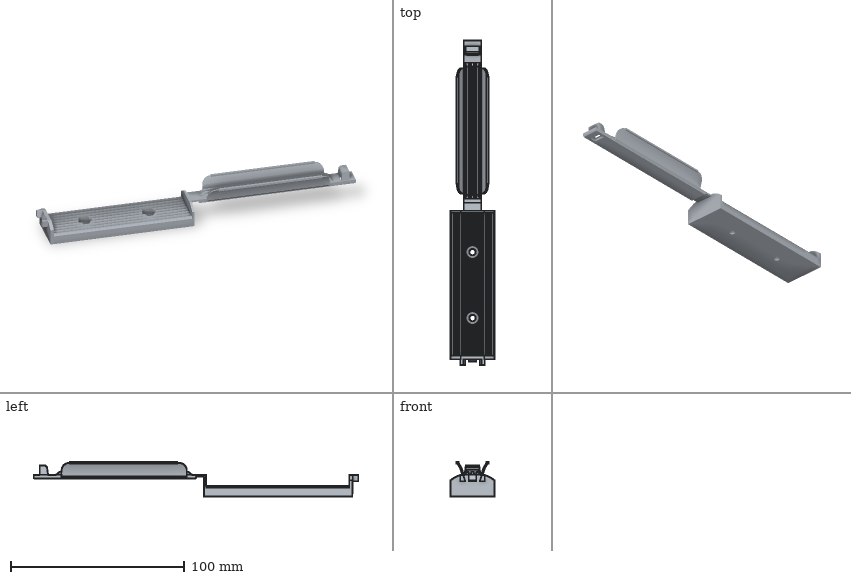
import cadquery as cq

TOTAL_LENGTH = 187.3
TOTAL_HEIGHT = 20.0
PEG_LENGTH = 3.4
LID_END_Y = TOTAL_LENGTH - PEG_LENGTH
STRAP_TOP_Z = 12.5

TRAY_WIDTH = 25.5
TRAY_LENGTH = 85.8
RIDGE_TOP_Z = 6.2
SIDE_TOP_Z = 5.0
SIDE_SLOPE_WIDTH = 0.7
BASE_DRAFT = 0.1
RIDGE_COUNT = 9
GROOVE_DEPTH = 1.9
GROOVE_TOP_WIDTH = 2.0
GROOVE_BOTTOM_WIDTH = 1.0
FRONT_PLATE_THICKNESS = 2.0
BACK_PLATE_THICKNESS = 1.3
PLATE_SHOULDER_Z = 9.4
PLATE_TOP_HALF_WIDTH = 6.7
PLATE_BULGE = 0.4
SCREW_SPACING = 38.0
FIRST_SCREW_Y = 23.8
SCREW_DIAMETER = 3.5
SCREW_HEAD_DIAMETER = 7.9
SCREW_SEAT_Z = 2.0

PEG_OUTER_X = 7.1
PEG_TOP_INNER_X = 5.5
PEG_BOTTOM_INNER_X = 4.1
PEG_BOTTOM_Z = 8.8
LATCH_WIDTH = 4.5
LATCH_DEPTH = 1.3
LATCH_NOSE_HEIGHT = 0.5

STRAP_WIDTH = 10.1
STRAP_THICKNESS = 1.1
LID_START_Y = 90.3

LID_THICKNESS = 2.2
LID_BOTTOM_Z = STRAP_TOP_Z - LID_THICKNESS
LID_EDGE_CHAMFER = 0.5
RIB_START_Y = 92.5
RIB_END_Y = 171.0
RIB_HEIGHT = 1.9
RIB_RAMP = 2.2
RIB_BASE_WIDTH = 2.2
RIB_TOP_WIDTH = 1.0
RIB_SPACING = 3.0

LOOP_BACK_Y = 180.4
LOOP_BASE_LENGTH = 4.9
LOOP_TOP_LENGTH = 4.1
LOOP_TOP_Z = 18.0
LOOP_TOP_WIDTH = 7.9
LOOP_BASE_WIDTH = 9.2
LOOP_LEAD_IN = 1.0
LOOP_BACK_WALL = 1.1
LOOP_OPENING_WIDTH = 6.4
LOOP_OPENING_TOP_Z = 15.5

WING_START_Y = 95.5
WING_END_Y = 167.8
WING_THICKNESS = 1.0
WING_BEND_X = 6.0
WING_BEND_Z = 15.7
WING_TIP_X = 8.0
WING_TIP_Z = 19.5
WING_CORNER_RADIUS = 4.5
LIP_START_Y = 101.2
LIP_END_Y = 163.0
LIP_INNER_X = 7.9
LIP_OUTER_X = 9.4
LIP_HEIGHT = 1.1


def block(x_size, y_start, y_end, z_bottom, z_top):
    """A box centred on X = 0 between the given Y and Z limits."""
    return (
        cq.Workplane("XY")
        .box(x_size, y_end - y_start, z_top - z_bottom, centered=(True, False, False))
        .translate((0, y_start, z_bottom))
    )


def along_y(profile, y_start, y_end):
    """Extrude a closed XZ profile from y_start to y_end."""
    return profile.extrude(y_start - y_end).translate((0, y_start, 0))


def trapezoid(x_centre, z_bottom, base_width, top_width, height):
    """A symmetric trapezoid in the XZ plane."""
    return cq.Workplane("XZ").polyline(
        [
            (x_centre - base_width / 2, z_bottom),
            (x_centre - top_width / 2, z_bottom + height),
            (x_centre + top_width / 2, z_bottom + height),
            (x_centre + base_width / 2, z_bottom),
        ]
    ).close()


def make_ridged_base():
    """Lower part of the tray, with grooves along its length that leave ridges between them."""
    slope_height = RIDGE_TOP_Z - SIDE_TOP_Z
    slope_top_width = TRAY_WIDTH - 2 * SIDE_SLOPE_WIDTH
    base = block(TRAY_WIDTH, 0, TRAY_LENGTH, 0, SIDE_TOP_Z)
    sloped_top = trapezoid(0, SIDE_TOP_Z, TRAY_WIDTH, slope_top_width, slope_height)
    base = base.union(along_y(sloped_top, 0, TRAY_LENGTH))
    pitch = TRAY_WIDTH / RIDGE_COUNT
    for i in range(1, RIDGE_COUNT):
        x_centre = (i - RIDGE_COUNT / 2) * pitch
        groove = trapezoid(
            x_centre, RIDGE_TOP_Z - GROOVE_DEPTH, GROOVE_BOTTOM_WIDTH, GROOVE_TOP_WIDTH, GROOVE_DEPTH
        )
        base = base.cut(along_y(groove, 0, TRAY_LENGTH))
    return base


def make_end_plate(y_start, y_end):
    """Upright plate with curved shoulders."""
    half_width = TRAY_WIDTH / 2
    shoulder_x = (half_width + PLATE_TOP_HALF_WIDTH) / 2
    shoulder_z = (PLATE_SHOULDER_Z + STRAP_TOP_Z) / 2 + PLATE_BULGE
    profile = (
        cq.Workplane("XZ")
        .moveTo(-half_width, 0)
        .lineTo(-half_width, PLATE_SHOULDER_Z)
        .threePointArc((-shoulder_x, shoulder_z), (-PLATE_TOP_HALF_WIDTH, STRAP_TOP_Z))
        .lineTo(PLATE_TOP_HALF_WIDTH, STRAP_TOP_Z)
        .threePointArc((shoulder_x, shoulder_z), (half_width, PLATE_SHOULDER_Z))
        .lineTo(half_width, 0)
        .close()
    )
    return along_y(profile, y_start, y_end)


def make_peg():
    """Right-hand peg, with its inner side sloping inwards towards the bottom."""
    profile = cq.Workplane("XZ").polyline(
        [
            (PEG_OUTER_X, PEG_BOTTOM_Z),
            (PEG_OUTER_X, STRAP_TOP_Z),
            (PEG_TOP_INNER_X, STRAP_TOP_Z),
            (PEG_BOTTOM_INNER_X, PEG_BOTTOM_Z),
        ]
    ).close()
    return along_y(profile, -PEG_LENGTH, 0)


def make_latch():
    """Wedge that the lid's catch loop snaps over."""
    return (
        cq.Workplane("YZ")
        .polyline(
            [
                (0, PEG_BOTTOM_Z),
                (-LATCH_DEPTH, PEG_BOTTOM_Z),
                (-LATCH_DEPTH, PEG_BOTTOM_Z + LATCH_NOSE_HEIGHT),
                (0, STRAP_TOP_Z),
            ]
        )
        .close()
        .extrude(LATCH_WIDTH / 2, both=True)
    )


def make_drafted_side():
    """Side outline of the tray, narrowing towards the bottom, as a solid across the width."""
    return (
        cq.Workplane("YZ")
        .polyline(
            [
                (BASE_DRAFT, 0),
                (0, SIDE_TOP_Z),
                (0, STRAP_TOP_Z),
                (TRAY_LENGTH, STRAP_TOP_Z),
                (TRAY_LENGTH, SIDE_TOP_Z),
                (TRAY_LENGTH - BASE_DRAFT, 0),
            ]
        )
        .close()
        .extrude(TRAY_WIDTH / 2, both=True)
    )


def make_tray():
    peg = make_peg()
    tray = (
        make_ridged_base()
        .union(make_end_plate(0, FRONT_PLATE_THICKNESS))
        .union(make_end_plate(TRAY_LENGTH - BACK_PLATE_THICKNESS, TRAY_LENGTH))
        .intersect(make_drafted_side())
        .union(peg)
        .union(peg.mirror("YZ"))
        .union(make_latch())
    )
    screw_points = [(0, FIRST_SCREW_Y), (0, FIRST_SCREW_Y + SCREW_SPACING)]
    seats = (
        cq.Workplane("XY", origin=(0, 0, SCREW_SEAT_Z))
        .pushPoints(screw_points)
        .circle(SCREW_HEAD_DIAMETER / 2)
        .extrude(STRAP_TOP_Z)
    )
    holes = cq.Workplane("XY").pushPoints(screw_points).circle(SCREW_DIAMETER / 2).extrude(STRAP_TOP_Z)
    return tray.cut(seats).cut(holes)


def make_strap():
    """Thin flexible strip joining the tray to the lid."""
    return block(STRAP_WIDTH, TRAY_LENGTH, LID_START_Y, STRAP_TOP_Z - STRAP_THICKNESS, STRAP_TOP_Z)


def make_rib(x_centre):
    """Lengthwise rib on the lid with a ramp at each end."""
    rib_top_z = STRAP_TOP_Z + RIB_HEIGHT
    side_outline = (
        cq.Workplane("YZ")
        .polyline(
            [
                (RIB_START_Y, STRAP_TOP_Z),
                (RIB_START_Y + RIB_RAMP, rib_top_z),
                (RIB_END_Y - RIB_RAMP, rib_top_z),
                (RIB_END_Y, STRAP_TOP_Z),
            ]
        )
        .close()
        .extrude(STRAP_WIDTH, both=True)
    )
    profile = trapezoid(x_centre, STRAP_TOP_Z, RIB_BASE_WIDTH, RIB_TOP_WIDTH, RIB_HEIGHT)
    return along_y(profile, RIB_START_Y, RIB_END_Y).intersect(side_outline)


def make_catch_loop():
    """Tapered hood, cut open at the front and below by the catch opening."""
    base_centre_y = LOOP_BACK_Y - LOOP_BASE_LENGTH / 2
    top_centre_y = LOOP_BACK_Y - LOOP_TOP_LENGTH / 2
    return (
        cq.Workplane("XY", origin=(0, base_centre_y, STRAP_TOP_Z))
        .rect(LOOP_BASE_WIDTH, LOOP_BASE_LENGTH)
        .workplane(offset=LOOP_TOP_Z - STRAP_TOP_Z)
        .center(0, top_centre_y - base_centre_y)
        .rect(LOOP_TOP_WIDTH, LOOP_TOP_LENGTH)
        .loft()
        .faces(">Z")
        .edges("<Y")
        .chamfer(LOOP_LEAD_IN)
    )


def make_lid():
    lid = block(STRAP_WIDTH, LID_START_Y, LID_END_Y, LID_BOTTOM_Z, STRAP_TOP_Z)
    lid = lid.faces("<Z").edges("|X").chamfer(LID_EDGE_CHAMFER)
    for x_centre in (-RIB_SPACING, 0, RIB_SPACING):
        lid = lid.union(make_rib(x_centre))
    opening = block(
        LOOP_OPENING_WIDTH,
        LOOP_BACK_Y - LOOP_BASE_LENGTH,
        LOOP_BACK_Y - LOOP_BACK_WALL,
        LID_BOTTOM_Z,
        LOOP_OPENING_TOP_Z,
    )
    return lid.union(make_catch_loop()).cut(opening)


def make_wing(side):
    """Flared wing with rounded upper corners and a lip along its tip; side is -1 or 1."""
    root_x = STRAP_WIDTH / 2
    root_z = LID_BOTTOM_Z + LID_EDGE_CHAMFER
    blade_profile = (
        cq.Workplane("XZ")
        .moveTo(root_x, root_z)
        .lineTo(root_x, STRAP_TOP_Z)
        .lineTo(WING_BEND_X, WING_BEND_Z)
        .lineTo(WING_TIP_X, WING_TIP_Z)
        .lineTo(WING_TIP_X + WING_THICKNESS, WING_TIP_Z)
        .threePointArc(
            (WING_BEND_X + WING_THICKNESS, WING_BEND_Z),
            (root_x + WING_THICKNESS, root_z + WING_THICKNESS),
        )
        .close()
    )
    rounded_outline = (
        block(TRAY_WIDTH, WING_START_Y, WING_END_Y, LID_BOTTOM_Z, WING_TIP_Z)
        .faces(">Z")
        .edges("|X")
        .fillet(WING_CORNER_RADIUS)
    )
    lip = block(LIP_OUTER_X - LIP_INNER_X, LIP_START_Y, LIP_END_Y, TOTAL_HEIGHT - LIP_HEIGHT, TOTAL_HEIGHT)
    lip = lip.translate(((LIP_INNER_X + LIP_OUTER_X) / 2, 0, 0))
    wing = along_y(blade_profile, WING_START_Y, WING_END_Y).intersect(rounded_outline).union(lip)
    return wing if side > 0 else wing.mirror("YZ")


tray = make_tray()
strap = make_strap()
lid = make_lid()
wings = [make_wing(side) for side in (-1, 1)]

result = cq.Compound.makeCompound([tray.val(), strap.val(), lid.val(), *[wing.val() for wing in wings]])